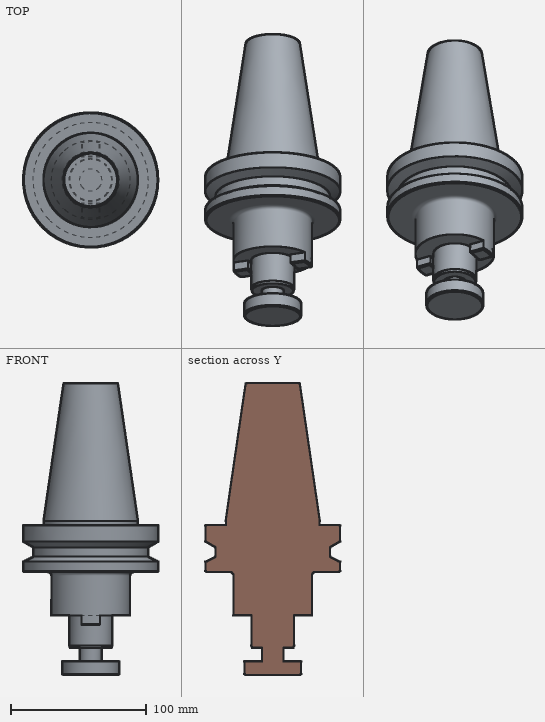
import cadquery as cq

total_height = 215.8

head_radius = 21.1
head_height = 10.4
head_bottom_chamfer = 0.9
head_top_chamfer = 0.5
shank_radius = 8.2

pilot_radius = 16.0
pilot_bottom = 20.0
pilot_chamfer_height = 2.0
pilot_chamfer_width = 0.6
neck_radius = 29.1
neck_bottom = 44.0
neck_fillet = 2.5

key_width = 13.8
key_height = 7.1
key_inner_offset = 16.8
key_chamfer = 0.9

flange_diameter = 100.0
flange_radius = flange_diameter / 2
flange_bottom = 76.0
flange_top = 111.0
flange_bottom_chamfer = 0.9
flange_top_chamfer = 0.6
groove_radius = 42.5
groove_lower_edge = 83.7
groove_floor_bottom = 87.5
groove_floor_top = 94.3
groove_upper_edge = 98.6

taper_radius = 35.0
taper_bottom = 114.0
taper_slope = 7 / 48
taper_tip_chamfer = 0.6
collar_radius = 34.7
collar_top = 112.9
taper_tip_radius = taper_radius - taper_slope * (total_height - taper_bottom)
tip_chamfer_bottom = total_height - taper_tip_chamfer
tip_chamfer_radius = taper_radius - taper_slope * (tip_chamfer_bottom - taper_bottom)


def make_body():
    """Revolve the half profile, from the screw head up to the taper tip."""
    profile = (
        cq.Workplane("XZ")
        .moveTo(0, 0)
        .lineTo(head_radius - head_bottom_chamfer, 0)
        .lineTo(head_radius, head_bottom_chamfer)
        .lineTo(head_radius, head_height - head_top_chamfer)
        .lineTo(head_radius - head_top_chamfer, head_height)
        .lineTo(shank_radius, head_height)
        .lineTo(shank_radius, pilot_bottom)
        .lineTo(pilot_radius - pilot_chamfer_width, pilot_bottom)
        .lineTo(pilot_radius, pilot_bottom + pilot_chamfer_height)
        .lineTo(pilot_radius, neck_bottom)
        .lineTo(neck_radius, neck_bottom)
        .lineTo(neck_radius, flange_bottom - neck_fillet)
        .radiusArc((neck_radius + neck_fillet, flange_bottom), neck_fillet)
        .lineTo(flange_radius - flange_bottom_chamfer, flange_bottom)
        .lineTo(flange_radius, flange_bottom + flange_bottom_chamfer)
        .lineTo(flange_radius, groove_lower_edge)
        .lineTo(groove_radius, groove_floor_bottom)
        .lineTo(groove_radius, groove_floor_top)
        .lineTo(flange_radius, groove_upper_edge)
        .lineTo(flange_radius, flange_top - flange_top_chamfer)
        .lineTo(flange_radius - flange_top_chamfer, flange_top)
        .lineTo(collar_radius, flange_top)
        .lineTo(collar_radius, collar_top)
        .lineTo(taper_radius, taper_bottom)
        .lineTo(tip_chamfer_radius, tip_chamfer_bottom)
        .lineTo(taper_tip_radius - taper_tip_chamfer, total_height)
        .lineTo(0, total_height)
        .close()
    )
    return profile.revolve(360, (0, 0, 0), (0, 1, 0))


def make_key(side):
    """Drive key flush with the neck surface; side is +1 or -1 along Y."""
    key_bottom = neck_bottom - key_height
    key_length = neck_radius - key_inner_offset
    blank = (
        cq.Workplane("XY", origin=(0, 0, key_bottom))
        .center(0, side * (key_inner_offset + key_length / 2))
        .rect(key_width, key_length)
        .extrude(key_height)
    )
    neck_envelope = cq.Workplane("XY", origin=(0, 0, key_bottom)).circle(neck_radius).extrude(key_height)
    return blank.intersect(neck_envelope).faces("<Z").chamfer(key_chamfer)


result = make_body()
for key_side in (-1, 1):
    result = result.union(make_key(key_side))